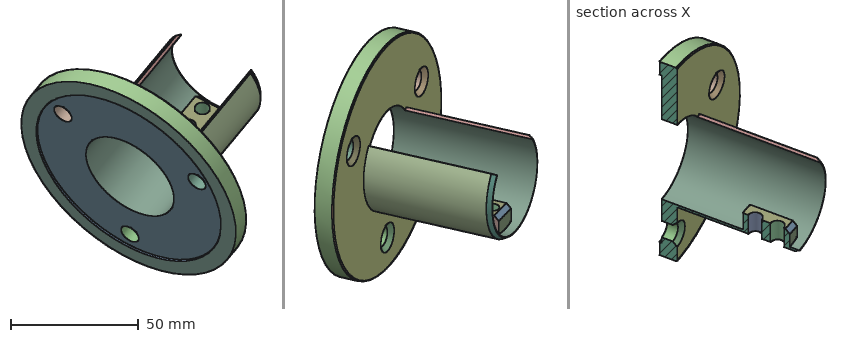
import cadquery as cq
import math

OVERALL_LENGTH = 63.0

FLANGE_DIAMETER = 100.0
FLANGE_THICKNESS = 8.0
FLANGE_CHAMFER = 0.5
RECESS_DIAMETER = 86.0
RECESS_DEPTH = 1.0
BOLT_HOLE_DIAMETER = 8.2
COUNTERSINK_DEPTH = 2.0
BOLT_CIRCLE_RADIUS = 36.0
BOLT_HOLE_ANGLES = (30, 150, 270)

BORE_RADIUS = 20.5
SLEEVE_RADIUS = 21.95
SLEEVE_CHAMFER_LENGTH = 2.0
SLEEVE_CHAMFER_ANGLE = 30.0
OPENING_EDGE_ANGLE = 38.0

BLOCK_WIDTH = 11.2
BLOCK_TOP_Z = -12.0
BLOCK_START_Y = 37.5
BLOCK_END_Y = 58.7
BLOCK_CHAMFER = 2.0
PIN_HOLE_DIAMETER = 6.0
PIN_HOLE_POSITIONS_Y = (43.0, 53.0)


def cylinder_along_y(radius, start_y, end_y, x=0.0, z=0.0):
    start = cq.Vector(x, start_y, z)
    return cq.Workplane(cq.Solid.makeCylinder(radius, end_y - start_y, start, cq.Vector(0, 1, 0)))


def make_countersink(x, z):
    hole_radius = BOLT_HOLE_DIAMETER / 2
    start = cq.Vector(x, FLANGE_THICKNESS - COUNTERSINK_DEPTH, z)
    cone = cq.Solid.makeCone(
        hole_radius, hole_radius + COUNTERSINK_DEPTH, COUNTERSINK_DEPTH, start, cq.Vector(0, 1, 0))
    return cq.Workplane(cone)


def make_flange():
    flange = cylinder_along_y(FLANGE_DIAMETER / 2, 0, FLANGE_THICKNESS)
    flange = flange.faces(">Y").edges().chamfer(FLANGE_CHAMFER)
    flange = flange.cut(cylinder_along_y(RECESS_DIAMETER / 2, 0, RECESS_DEPTH))
    for angle in BOLT_HOLE_ANGLES:
        x = BOLT_CIRCLE_RADIUS * math.cos(math.radians(angle))
        z = BOLT_CIRCLE_RADIUS * math.sin(math.radians(angle))
        flange = flange.cut(cylinder_along_y(BOLT_HOLE_DIAMETER / 2, 0, FLANGE_THICKNESS, x, z))
        flange = flange.cut(make_countersink(x, z))
    return flange


def make_sleeve_envelope():
    """Solid sleeve envelope with a tapered free end, before boring."""
    chamfer_depth = SLEEVE_CHAMFER_LENGTH * math.tan(math.radians(SLEEVE_CHAMFER_ANGLE))
    return (
        cq.Workplane("XY")
        .moveTo(0, RECESS_DEPTH)
        .lineTo(SLEEVE_RADIUS, RECESS_DEPTH)
        .lineTo(SLEEVE_RADIUS, OVERALL_LENGTH - SLEEVE_CHAMFER_LENGTH)
        .lineTo(SLEEVE_RADIUS - chamfer_depth, OVERALL_LENGTH)
        .lineTo(0, OVERALL_LENGTH)
        .close()
        .revolve(360, (0, 0, 0), (0, 1, 0))
    )


def make_opening():
    """Sector behind the flange, bounded by two radial planes through the axis."""
    reach_z = 2 * SLEEVE_RADIUS
    reach_x = reach_z / math.tan(math.radians(OPENING_EDGE_ANGLE))
    return (
        cq.Workplane("XZ", origin=(0, FLANGE_THICKNESS, 0))
        .polyline([(0, 0), (reach_x, reach_z), (-reach_x, reach_z)])
        .close()
        .extrude(-(OVERALL_LENGTH - FLANGE_THICKNESS))
    )


def make_block():
    """Flat-topped block seated on the bottom of the sleeve, bevelled at its far end."""
    bevel_z = BLOCK_TOP_Z - BLOCK_CHAMFER
    block = (
        cq.Workplane("YZ")
        .moveTo(BLOCK_START_Y, -SLEEVE_RADIUS)
        .lineTo(BLOCK_START_Y, BLOCK_TOP_Z)
        .lineTo(BLOCK_END_Y - BLOCK_CHAMFER, BLOCK_TOP_Z)
        .lineTo(BLOCK_END_Y, bevel_z)
        .lineTo(BLOCK_END_Y, -SLEEVE_RADIUS)
        .close()
        .extrude(BLOCK_WIDTH / 2, both=True)
    )
    return block.intersect(cylinder_along_y(SLEEVE_RADIUS, 0, OVERALL_LENGTH))


def cut_pin_holes(body):
    for y in PIN_HOLE_POSITIONS_Y:
        bottom = cq.Vector(0, y, -SLEEVE_RADIUS)
        hole = cq.Solid.makeCylinder(PIN_HOLE_DIAMETER / 2, SLEEVE_RADIUS, bottom, cq.Vector(0, 0, 1))
        body = body.cut(cq.Workplane(hole))
    return body


sleeve = make_sleeve_envelope().cut(make_opening())
body = make_flange().union(sleeve)
body = body.cut(cylinder_along_y(BORE_RADIUS, 0, OVERALL_LENGTH))
body = body.union(make_block())
result = cut_pin_holes(body)